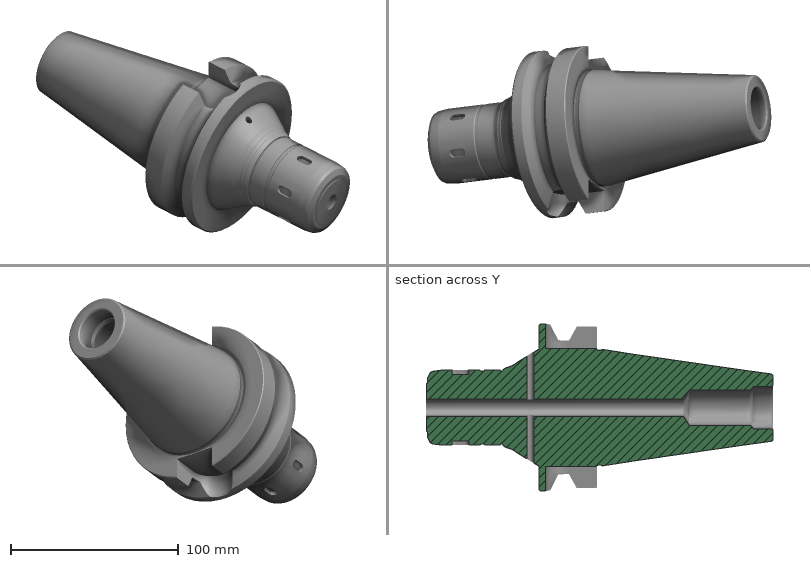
import cadquery as cq
import math


taper_length = 101.8
gauge_diameter = 69.85
taper_ratio = 7 / 24
shank_end_x = -taper_length
shank_end_radius = (gauge_diameter - taper_length * taper_ratio) / 2
shank_chamfer = 0.8

neck_radius = 34.4
neck_start_x = 1.2
neck_end_x = 2.5
relief_radius = 37.0
relief_depth = 0.5

flange_start_x = 3.0
flange_end_x = 38.0
flange_radius = 50.0
front_flange_radius = 49.75
flange_front_chamfer = 0.5
flange_rear_chamfer = 1.0
groove_center_x = 23.0
groove_floor_width = 6.4
groove_floor_radius = 41.8
groove_flank_angle = 30.0
groove_flank_slope = math.tan(math.radians(groove_flank_angle))
front_flank_width = (front_flange_radius - groove_floor_radius) * groove_flank_slope
rear_flank_width = (flange_radius - groove_floor_radius) * groove_flank_slope

drive_slot_count = 2
drive_slot_width = 25.4
drive_slot_end_x = 33.7
drive_slot_floor_z = 35.3

body_root_radius = 35.0
body_shoulder_x = 40.0
body_shoulder_radius = 33.8
body_cone_end_x = 50.6
body_cone_end_radius = 27.3
body_blend_x = 52.4
body_blend_radius = 26.0
collar_start_x = 54.3
collar_end_x = 57.0
collar_front_radius = 24.9
collar_radius = 48.46 / 2
collar_step = 0.6
body_end_x = 59.4
body_end_radius = 22.8

nut_radius = 45.0 / 2
nut_relief_radius = 44.0 / 2
nut_start_x = 60.6
nut_groove_start_x = 70.4
nut_groove_end_x = 72.6
nut_groove_chamfer = nut_radius - nut_relief_radius
nut_taper_start_x = 96.0
nut_taper_end_x = 101.2
nut_taper_end_radius = 21.8
nut_corner_x = 102.8
nut_corner_radius = 21.0
nut_face_x = 104.5
nut_face_radius = 17.6
tip_x = 105.0
tip_radius = 14.5

wrench_slot_count = 6
wrench_slot_x = 84.6
wrench_slot_length = 10.0
wrench_slot_width = 5.0
wrench_slot_depth = 2.5

pilot_radius = 25.0 / 2
pilot_chamfer = 0.8
pilot_depth = 12.0
thread_entry_radius = 24.0 / 2
thread_radius = 21.0 / 2
thread_chamfer_length = thread_entry_radius - thread_radius
thread_end_depth = 50.0
drill_point_angle = 118.0
coolant_radius = 10.0 / 2

cross_hole_diameter = 4.0
cross_hole_x = 42.9


def make_body():
    """Revolve the outer half-profile, from the shank end to the nut tip."""
    groove_left = groove_center_x - groove_floor_width / 2
    groove_right = groove_center_x + groove_floor_width / 2
    shank = [
        (shank_end_x, 0),
        (shank_end_x, shank_end_radius - shank_chamfer),
        (shank_end_x + shank_chamfer, shank_end_radius + shank_chamfer * taper_ratio / 2),
        (0, gauge_diameter / 2),
        (neck_start_x, neck_radius),
        (neck_end_x, neck_radius),
    ]
    flange = [
        (flange_start_x + relief_depth, neck_radius + relief_depth),
        (flange_start_x, relief_radius),
        (flange_start_x, front_flange_radius - flange_front_chamfer),
        (flange_start_x + flange_front_chamfer, front_flange_radius),
        (groove_left - front_flank_width, front_flange_radius),
        (groove_left, groove_floor_radius),
        (groove_right, groove_floor_radius),
        (groove_right + rear_flank_width, flange_radius),
        (flange_end_x - flange_rear_chamfer, flange_radius),
        (flange_end_x, flange_radius - flange_rear_chamfer),
    ]
    cone = [
        (flange_end_x, body_root_radius),
        (body_shoulder_x, body_shoulder_radius),
        (body_cone_end_x, body_cone_end_radius),
        (body_blend_x, body_blend_radius),
        (collar_start_x, collar_front_radius),
        (collar_start_x + collar_step, collar_front_radius),
        (collar_end_x - collar_step, collar_radius),
        (collar_end_x, collar_radius),
        (body_end_x, body_end_radius),
        (body_end_x, nut_relief_radius),
    ]
    nut = [
        (nut_start_x, nut_relief_radius),
        (nut_start_x, nut_radius),
        (nut_groove_start_x, nut_radius),
        (nut_groove_start_x, nut_relief_radius),
        (nut_groove_end_x, nut_relief_radius),
        (nut_groove_end_x + nut_groove_chamfer, nut_radius),
        (nut_taper_start_x, nut_radius),
        (nut_taper_end_x, nut_taper_end_radius),
        (nut_corner_x, nut_corner_radius),
        (nut_face_x, nut_face_radius),
        (nut_face_x, tip_radius),
        (tip_x, tip_radius),
        (tip_x, 0),
    ]
    profile = cq.Workplane("XY").polyline(shank + flange + cone + nut).close()
    return profile.revolve(360, (0, 0, 0), (1, 0, 0))


def make_bore():
    """Threaded pilot bore at the shank end, running into a through coolant bore."""
    thread_end_x = shank_end_x + thread_end_depth
    drill_point_length = (thread_radius - coolant_radius) / math.tan(math.radians(drill_point_angle / 2))
    pilot_end_x = shank_end_x + pilot_depth
    points = [
        (shank_end_x, 0),
        (shank_end_x, pilot_radius + pilot_chamfer),
        (shank_end_x + pilot_chamfer, pilot_radius),
        (pilot_end_x, pilot_radius),
        (pilot_end_x, thread_entry_radius),
        (pilot_end_x + thread_chamfer_length, thread_radius),
        (thread_end_x, thread_radius),
        (thread_end_x + drill_point_length, coolant_radius),
        (tip_x, coolant_radius),
        (tip_x, 0),
    ]
    return cq.Workplane("XY").polyline(points).close().revolve(360, (0, 0, 0), (1, 0, 0))


def make_drive_slot():
    """Slot on the +Z side, open toward the shank and round at its far end."""
    arc_center_x = drive_slot_end_x - drive_slot_width / 2
    height = flange_radius - drive_slot_floor_z
    floor = cq.Workplane("XY").workplane(offset=drive_slot_floor_z)
    straight = (
        floor.center((neck_end_x + arc_center_x) / 2, 0)
        .rect(arc_center_x - neck_end_x, drive_slot_width)
        .extrude(height)
    )
    round_end = floor.center(arc_center_x, 0).circle(drive_slot_width / 2).extrude(height)
    return straight.union(round_end)


def make_wrench_slot():
    """Flat-bottomed oblong pocket on the +Z side of the nut."""
    return (
        cq.Workplane("XY")
        .workplane(offset=nut_radius - wrench_slot_depth)
        .center(wrench_slot_x, 0)
        .slot2D(wrench_slot_length, wrench_slot_width)
        .extrude(wrench_slot_depth)
    )


def make_cross_hole():
    """Hole through the tapered body along Z."""
    return (
        cq.Workplane("XY")
        .center(cross_hole_x, 0)
        .circle(cross_hole_diameter / 2)
        .extrude(flange_radius, both=True)
    )


def cut_around_axis(body, cutter, count):
    """Cut evenly spaced copies of a cutter about the X axis."""
    for index in range(count):
        body = body.cut(cutter.rotate((0, 0, 0), (1, 0, 0), index * 360 / count))
    return body


result = make_body().cut(make_bore())
result = cut_around_axis(result, make_drive_slot(), drive_slot_count)
result = cut_around_axis(result, make_wrench_slot(), wrench_slot_count)
result = result.cut(make_cross_hole())